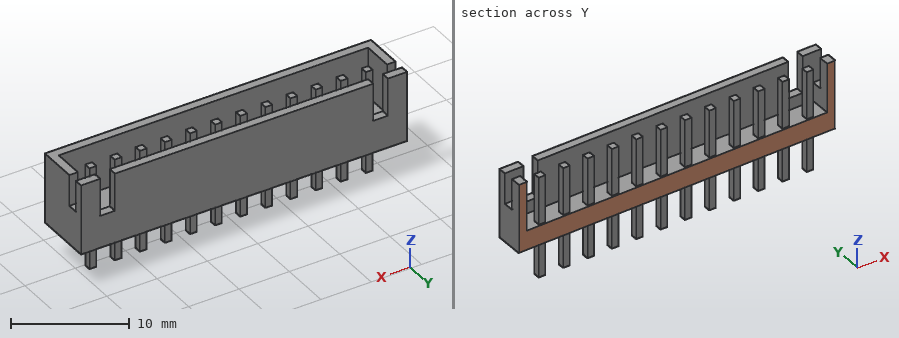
import cadquery as cq

LENGTH = 32.4
DEPTH = 5.75
HEIGHT = 7.0
END_WALL = 0.85
FRONT_WALL = 0.87
BACK_WALL = 0.8
FLOOR_THICKNESS = 2.0

SLOT_WIDTH = 1.05
SLOT_DROP = 3.1

TAB_LENGTH = 1.9
NOTCH_LENGTH = 1.45
NOTCH_DROP = 3.75

PIN_COUNT = 12
PIN_PITCH = 2.5
PIN_SIZE = 0.68
PIN_FROM_BACK = 2.4
PIN_TAIL = 3.4
PIN_TOP_DROP = 0.2


def block(x_start, x_end, y_start, y_end, z_start, z_end):
    """Box given by its limits along each axis."""
    return cq.Workplane("XY").box(
        x_end - x_start, y_end - y_start, z_end - z_start, centered=False
    ).translate((x_start, y_start, z_start))


def make_shroud():
    half = LENGTH / 2
    inner_half = half - END_WALL
    outside = block(-half, half, 0, DEPTH, 0, HEIGHT)
    cavity = block(
        -inner_half, inner_half, FRONT_WALL, DEPTH - BACK_WALL, FLOOR_THICKNESS, HEIGHT
    )
    return outside.cut(cavity)


def make_slot():
    half = LENGTH / 2
    slot_rear = DEPTH - BACK_WALL
    return block(-half, half, slot_rear - SLOT_WIDTH, slot_rear, HEIGHT - SLOT_DROP, HEIGHT)


def make_notch(side):
    """Back-wall notch on the -X (side = -1) or +X (side = 1) half."""
    center = side * (LENGTH / 2 - TAB_LENGTH - NOTCH_LENGTH / 2)
    return block(
        center - NOTCH_LENGTH / 2, center + NOTCH_LENGTH / 2,
        DEPTH - BACK_WALL, DEPTH,
        HEIGHT - NOTCH_DROP, HEIGHT,
    )


def make_pin(index):
    center_x = (index - (PIN_COUNT - 1) / 2) * PIN_PITCH
    center_y = DEPTH - PIN_FROM_BACK
    half = PIN_SIZE / 2
    return block(
        center_x - half, center_x + half,
        center_y - half, center_y + half,
        -PIN_TAIL, HEIGHT - PIN_TOP_DROP,
    )


result = make_shroud().cut(make_slot())
for notch_side in (-1, 1):
    result = result.cut(make_notch(notch_side))
for pin_index in range(PIN_COUNT):
    result = result.union(make_pin(pin_index))